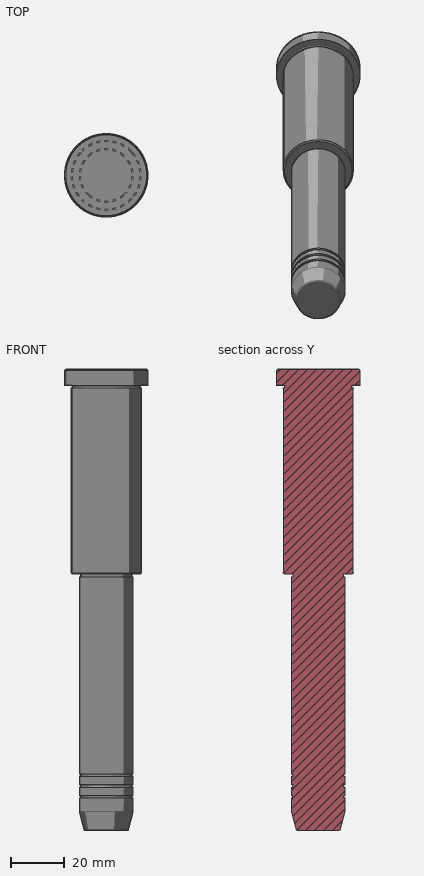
import cadquery as cq
import math

TOTAL_LENGTH = 171.0

HEAD_RADIUS = 31.0 / 2
HEAD_HEIGHT = 6.0
HEAD_CHAMFER = 0.5

SHANK_RADIUS = 26.0 / 2
SHANK_LENGTH = 70.0
SHANK_CHAMFER = 0.5

PIN_RADIUS = 20.0 / 2

TIP_LENGTH = 7.0
TIP_HALF_ANGLE = 15.0
TIP_FILLET = 0.5

RELIEF_WIDTH = 1.0
RELIEF_DEPTH = 0.5

GROOVE_WIDTH = 1.0
GROOVE_DEPTH = 0.5
GROOVE_CORNER_RADIUS = 0.49

TIP_GROOVE_COUNT = 3
TIP_GROOVE_PITCH = 4.0
LOWEST_TIP_GROOVE_Z = 12.0

HEAD_BOTTOM_Z = TOTAL_LENGTH - HEAD_HEIGHT
SHANK_BOTTOM_Z = HEAD_BOTTOM_Z - SHANK_LENGTH


def cylinder(radius, bottom_z, height):
    return cq.Workplane("XY").workplane(offset=bottom_z).circle(radius).extrude(height)


def square_ring(outer_radius, depth, bottom_z, width):
    """Square-section ring to cut from a cylinder of the given outer radius."""
    ring = cq.Workplane("XY").workplane(offset=bottom_z)
    return ring.circle(outer_radius).circle(outer_radius - depth).extrude(width)


def round_bottom_ring(outer_radius, bottom_z):
    """Ring whose two inner corners are rounded, to cut from a cylinder of the given outer radius."""
    ring = square_ring(outer_radius, GROOVE_DEPTH, bottom_z, GROOVE_WIDTH)
    inner_edges = ring.edges(cq.selectors.RadiusNthSelector(0))
    return inner_edges.fillet(GROOVE_CORNER_RADIUS)


def make_head():
    head = cylinder(HEAD_RADIUS, HEAD_BOTTOM_Z, HEAD_HEIGHT)
    return head.faces(">Z").edges().chamfer(HEAD_CHAMFER)


def make_shank():
    shank = cylinder(SHANK_RADIUS, SHANK_BOTTOM_Z, SHANK_LENGTH)
    shank = shank.faces("<Z").edges().chamfer(SHANK_CHAMFER)
    groove_z = HEAD_BOTTOM_Z - GROOVE_WIDTH
    return shank.cut(round_bottom_ring(SHANK_RADIUS, groove_z))


def make_pin():
    pin = cylinder(PIN_RADIUS, TIP_LENGTH, SHANK_BOTTOM_Z - TIP_LENGTH)
    relief_z = SHANK_BOTTOM_Z - RELIEF_WIDTH
    pin = pin.cut(square_ring(PIN_RADIUS, RELIEF_DEPTH, relief_z, RELIEF_WIDTH))
    for index in range(TIP_GROOVE_COUNT):
        groove_z = LOWEST_TIP_GROOVE_Z + index * TIP_GROOVE_PITCH
        pin = pin.cut(round_bottom_ring(PIN_RADIUS, groove_z))
    return pin


def make_tip():
    end_radius = PIN_RADIUS - TIP_LENGTH * math.tan(math.radians(TIP_HALF_ANGLE))
    tip = (
        cq.Workplane("XZ")
        .moveTo(0, 0)
        .lineTo(end_radius, 0)
        .lineTo(PIN_RADIUS, TIP_LENGTH)
        .lineTo(0, TIP_LENGTH)
        .close()
        .revolve(360, (0, 0), (0, 1))
    )
    return tip.faces("<Z").edges().fillet(TIP_FILLET)


result = make_head().union(make_shank()).union(make_pin()).union(make_tip())